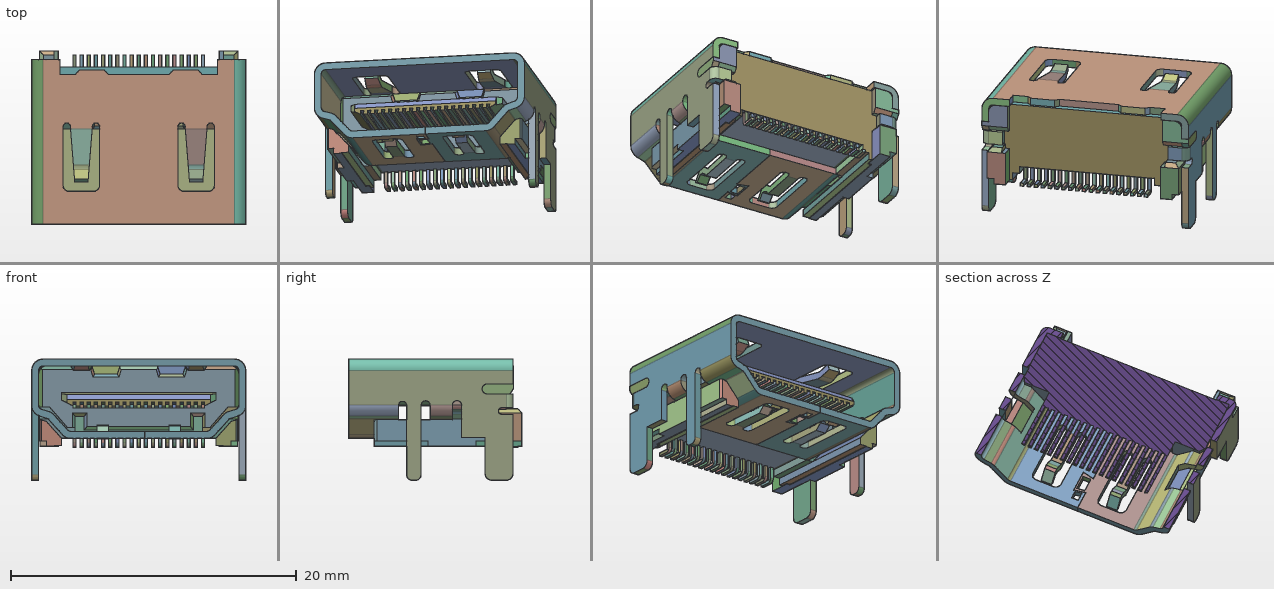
import cadquery as cq

WIDTH = 15.0
SHEET = 0.5
SHELL_TOP = 5.56
SHELL_LENGTH = 11.54
FLOOR_LENGTH = 7.28
BEND_RADIUS = 0.32
KNEE_RADIUS = SHEET + 0.08
WALL_X = WIDTH / 2 - SHEET
CEILING = SHELL_TOP - SHEET
FLAT_HALF = 4.89
STEP_X, STEP_Z = 6.09, 1.82
WALL_FOOT = 2.1
WALL_BREAK = 2.32
LEG_TIP = -2.94
FRONT_LEG_ROUND, REAR_LEG_ROUND = 0.39, 0.5

TOP_SPRING_X = 4.02
TOP_SLOT_FRONT, TOP_SLOT_REAR = 2.32, 6.69
FLOOR_SPRING_X = 2.52
FLOOR_SLOT_FRONT, FLOOR_SLOT_REAR = 0.85, 5.34
TOP_SLOT_HALF, FLOOR_SLOT_HALF = 1.28, 1.08
TOP_ROOT_HALF, FLOOR_SPRING_HALF = 0.76, 0.4
RELIEF_LENGTH = 0.4
SLOT_CORNER = 0.42
NOTCH_HALF, NOTCH_Y = 5.5, 10.52
SEAM_X, SEAM_GAP = 0.42, 0.02
FRONT_LEG = (4.06, 5.08)
FRONT_RELIEF = (3.51, 5.72)
RELIEF_X = 5.55
PLATE_FRONT, PLATE_BOTTOM = 7.92, 0.06
REAR_LEG_FRONT = 9.55
TAB_BOTTOM, TAB_TOP = 2.16, 3.12
WALL_SLOT_END, WALL_SLOT_TOP = 9.36, 3.81
LOWER_SLOT_END, LOWER_SLOT_BOTTOM = 10.52, 1.68
TAB_REACH = 1.5

FACE_Y = 6.69
RIM_DEPTH = 0.4
RECESS_DEPTH = 0.21
KEY_X = 2.3
BLOCK_REAR = SHELL_LENGTH - SHEET
BLOCK_CORNER = 0.51
TONGUE_TIP = 2.07
TONGUE_HALF = 5.4
TONGUE_TOP, TONGUE_TIP_TOP, TONGUE_BOTTOM = 3.21, 3.09, 2.28
TIP_BEVEL = 0.36
TIP_BEVEL_LENGTH = 0.24
FOOT_IN, FOOT_OUT = 5.4, 6.93
FOOT_FRONT = 1.8
FOOT_BOTTOM = -0.55
REBATE_X, REBATE_TOP = 6.46, -0.16
HEEL_REAR, HEEL_TOP = 12.15, 2.08
HEEL_IN, HEEL_OUT = 5.62, 6.96
EAR_REAR = 11.56

PIN_COUNT = 19
PIN_PITCH = 1.5 / 3
PIN_WIDTH = 0.24
PIN_THICK = 0.22
PIN_BOTTOM = -0.63
PIN_REAR = 11.88
CONTACT_FRONT = 6.51
CONTACT_BOTTOM = 2.12


def box(x0, x1, y0, y1, z0, z1):
    return cq.Workplane("XY").box(x1 - x0, y1 - y0, z1 - z0, centered=False).translate((x0, y0, z0))


def mirrored(points):
    """Close a right-hand half outline with its mirror image about the Y-Z plane."""
    return points + [(-x, z) for x, z in reversed(points)]


def front_prism(points, y0, y1):
    """Extrude an X-Z outline from y0 to y1."""
    return cq.Workplane("XZ", origin=(0, y0, 0)).polyline(points).close().extrude(y0 - y1)


def side_prism(points, x0, x1):
    """Extrude a Y-Z outline from x0 to x1."""
    return cq.Workplane("YZ", origin=(x0, 0, 0)).polyline(points).close().extrude(x1 - x0)


def plan_prism(points, z0, z1):
    """Extrude an X-Y outline from z0 to z1."""
    return cq.Workplane("XY", origin=(0, 0, z0)).polyline(points).close().extrude(z1 - z0)


def front_loft(points_a, y_a, points_b, y_b):
    """Straight-sided transition between two X-Z outlines."""
    near = cq.Wire.makePolygon([cq.Vector(x, y_a, z) for x, z in points_a], close=True)
    far = cq.Wire.makePolygon([cq.Vector(x, y_b, z) for x, z in points_b], close=True)
    return cq.Workplane(obj=cq.Solid.makeLoft([near, far], True))


def both_sides(right):
    return right.union(right.mirror("YZ"))


CAVITY = mirrored([(FLAT_HALF, SHEET), (STEP_X, STEP_Z), (WALL_X, WALL_FOOT), (WALL_X, CEILING)])


def cavity_prism(corner, grow, y0, y1):
    """Cavity section with rounded corners and knees, grown outward by `grow`.

    Offsetting in and out rounds the corners, and offsetting out and in rounds the knees.
    """
    section = cq.Workplane("XZ", origin=(0, y0, 0)).polyline(CAVITY).close()
    section = section.offset2D(-corner).offset2D(corner + KNEE_RADIUS).offset2D(grow - KNEE_RADIUS)
    return section.extrude(y0 - y1)



def spring_slot(x, half, root_half, front, rear, z0, z1):
    """Rounded window with a round-ended finger on each side of the spring root."""
    slot = box(x - half, x + half, front, rear, z0, z1).edges("|Z and <Y").fillet(SLOT_CORNER)
    radius = (half - root_half) / 2
    for side in (-1, 1):
        finger_x = x + side * (half - radius)
        end_y = rear + RELIEF_LENGTH - radius
        slot = slot.union(box(finger_x - radius, finger_x + radius, rear - 0.15, end_y, z0, z1))
        slot = slot.union(cq.Workplane("XY", origin=(finger_x, end_y, z0)).circle(radius).extrude(z1 - z0))
    return slot


def top_spring(x):
    """Tapered leaf that dips into the cavity and turns up at its tip."""
    tip_half = 0.46
    bend_y, tip_y, end_y = 4.0, 3.18, 2.98
    dip = 0.33
    root_y = TOP_SLOT_REAR + 0.08
    leaf = side_prism([(root_y, SHELL_TOP), (TOP_SLOT_REAR, SHELL_TOP), (bend_y, SHELL_TOP - dip),
                       (tip_y, SHELL_TOP), (end_y, CEILING + 0.05), (bend_y, CEILING - dip),
                       (TOP_SLOT_REAR, CEILING), (root_y, CEILING)], x - TOP_ROOT_HALF, x + TOP_ROOT_HALF)
    bend_radius = 0.65
    for z, radius in ((SHELL_TOP - dip, bend_radius), (CEILING - dip, bend_radius + SHEET)):
        leaf = leaf.edges(cq.selectors.NearestToPointSelector((x, bend_y, z))).fillet(radius)
    plan = [(x - TOP_ROOT_HALF, root_y), (x - tip_half, end_y), (x + tip_half, end_y),
            (x + TOP_ROOT_HALF, root_y)]
    return leaf.intersect(plan_prism(plan, 0, SHELL_TOP))


def floor_spring(x):
    """Straight leaf with a hump near the tip."""
    half = FLOOR_SPRING_HALF
    root_y = FLOOR_SLOT_REAR + 0.08
    leaf = [(root_y, SHEET), (FLOOR_SLOT_REAR, SHEET), (2.8, 0.44), (2.28, 0.84), (2.0, 0.95), (1.74, 0.87),
            (1.12, 0.15), (1.4, 0.03), (1.82, 0.45), (2.15, 0.39), (2.62, -0.03),
            (FLOOR_SLOT_REAR, 0), (root_y, 0)]
    return side_prism(leaf, x - half, x + half)


def floor_joint():
    """Hairline butt seam with a dovetail lock, and the two windows beside it."""
    neck_front, neck_rear = 1.34, 2.62
    lock_x, lock_front, lock_rear = -0.44, 1.2, 2.8
    seam = [(SEAM_X, 0), (SEAM_X, neck_front), (lock_x, lock_front), (lock_x, lock_rear),
            (SEAM_X, neck_rear), (SEAM_X, FLOOR_LENGTH)]
    offset = [(x + SEAM_GAP, y + SEAM_GAP * slope)
              for (x, y), slope in zip(seam, (0, 1, 1, -1, -1, 0))]
    cut = plan_prism(seam + offset[::-1], 0, SHEET)
    lock_window = [(-0.3, 1.41), (-0.3, 2.49), (0.28, 2.49), (0.28, 1.48)]
    front_window = [(-0.3, 0.57), (-0.3, 1.12), (0.2, 1.2), (0.2, 0.57)]
    return cut.union(plan_prism(lock_window, 0, SHEET)).union(plan_prism(front_window, 0, SHEET))


def rear_notch():
    """Cut-back of the top at the rear, leaving two trapezoidal lips."""
    lip_y = 10.8
    half = [(NOTCH_HALF, SHELL_LENGTH), (NOTCH_HALF, NOTCH_Y), (4.44, NOTCH_Y), (4.15, lip_y),
            (2.42, lip_y), (2.13, NOTCH_Y)]
    return plan_prism(mirrored(half), CEILING, SHELL_TOP)


def right_legs():
    """Front leg and rear plate with its leg, in the plane of the right wall."""
    top = WALL_BREAK + 0.08
    x0, x1 = WALL_X, WIDTH / 2
    front = box(x0, x1, *FRONT_LEG, LEG_TIP, top + RELIEF_LENGTH).edges("|X and <Z").fillet(FRONT_LEG_ROUND)
    rear = box(x0, x1, REAR_LEG_FRONT, SHELL_LENGTH, LEG_TIP, top).edges("|X and <Z").fillet(REAR_LEG_ROUND)
    plate = box(x0, x1, PLATE_FRONT, SHELL_LENGTH, PLATE_BOTTOM, top)
    return front.union(rear).union(plate)


def wall_slot(y_end, z0, z1):
    """Round-ended slot through the right wall, open at the rear edge."""
    radius = (z1 - z0) / 2
    x0, x1 = WALL_X, WIDTH / 2
    end = cq.Workplane("YZ", origin=(x0, y_end + radius, (z0 + z1) / 2)).circle(radius).extrude(SHEET)
    return box(x0, x1, y_end + radius, SHELL_LENGTH, z0, z1).union(end)


def relief_arch(y0, y1):
    """Rounded head of a relief cut in the right wall beside a leg."""
    radius = (y1 - y0) / 2
    return cq.Workplane("YZ", origin=(WALL_X, (y0 + y1) / 2, WALL_BREAK)).circle(radius).extrude(SHEET)


def folded_tab():
    """Right wall tab folded behind the housing block."""
    outside = WIDTH / 2
    tab = box(outside - TAB_REACH, outside, BLOCK_REAR, SHELL_LENGTH, TAB_BOTTOM, TAB_TOP)
    return tab.edges("|Z and >X and >Y").fillet(SHEET - 0.02)


def make_shell():
    shell = cavity_prism(BEND_RADIUS, SHEET, 0, SHELL_LENGTH)
    shell = shell.cut(cavity_prism(BEND_RADIUS, 0, 0, SHELL_LENGTH))
    half = WIDTH / 2
    shell = shell.cut(box(-half, half, FLOOR_LENGTH, SHELL_LENGTH, 0, WALL_BREAK))
    shell = shell.cut(both_sides(box(RELIEF_X, half, *FRONT_RELIEF, 0, WALL_BREAK)))
    arches = relief_arch(FRONT_RELIEF[0], FRONT_LEG[0])
    arches = arches.union(relief_arch(FRONT_LEG[1], FRONT_RELIEF[1]))
    arches = arches.union(relief_arch(FLOOR_LENGTH, PLATE_FRONT))
    shell = shell.cut(both_sides(arches)).union(both_sides(right_legs()))
    shell = shell.cut(both_sides(wall_slot(WALL_SLOT_END, TAB_TOP, WALL_SLOT_TOP)))
    shell = shell.cut(both_sides(wall_slot(LOWER_SLOT_END, LOWER_SLOT_BOTTOM, TAB_BOTTOM)))
    shell = shell.cut(both_sides(box(WALL_X, half, BLOCK_REAR, SHELL_LENGTH, TAB_BOTTOM, TAB_TOP)))
    shell = shell.union(both_sides(folded_tab()))
    shell = shell.cut(rear_notch()).cut(floor_joint())
    for side in (-1, 1):
        x = side * TOP_SPRING_X
        shell = shell.cut(spring_slot(x, TOP_SLOT_HALF, TOP_ROOT_HALF, TOP_SLOT_FRONT, TOP_SLOT_REAR,
                                      CEILING, SHELL_TOP))
        shell = shell.union(top_spring(x))
        x = side * FLOOR_SPRING_X
        shell = shell.cut(spring_slot(x, FLOOR_SLOT_HALF, FLOOR_SPRING_HALF, FLOOR_SLOT_FRONT,
                                      FLOOR_SLOT_REAR, 0, SHEET))
        shell = shell.union(floor_spring(x))
    return shell



def block():
    """Body that fills the rear of the cavity, with a bevelled front rim."""
    rim_y = FACE_Y + RIM_DEPTH
    bevel = 0.25
    ledge_z, shoulder_z = 0.78, 2.19
    lower_edge = [(4.45, SHEET), (4.45, ledge_z), (5.01, ledge_z), (6.24, shoulder_z)]
    near = lower_edge + [(WALL_X - bevel, shoulder_z), (WALL_X - bevel, CEILING - bevel)]
    far = lower_edge + [(WALL_X, shoulder_z), (WALL_X, CEILING)]
    rim = front_loft(mirrored(near), FACE_Y, mirrored(far), rim_y)
    rim = rim.intersect(cavity_prism(BEND_RADIUS, 0, FACE_Y, rim_y))
    body = cavity_prism(BEND_RADIUS, 0, rim_y, BLOCK_REAR).union(rim)
    envelope = box(-WALL_X, WALL_X, FACE_Y, BLOCK_REAR, 0, CEILING)
    return body.intersect(envelope.edges("|Y and >Z").fillet(BLOCK_CORNER))


def key_recess(x):
    """Tapered trapezoidal recess at the top of the front face."""
    near_top, near_low, near_z = 1.14, 0.92, 4.3
    far_top, far_low, far_z = 0.99, 0.8, 4.5
    near = [(x - near_top, CEILING), (x - near_low, near_z), (x + near_low, near_z), (x + near_top, CEILING)]
    far = [(x - far_top, CEILING), (x - far_low, far_z), (x + far_low, far_z), (x + far_top, CEILING)]
    mouth_end = FACE_Y + RECESS_DEPTH
    return front_loft(near, FACE_Y, far, mouth_end).union(front_prism(far, mouth_end, FACE_Y + RIM_DEPTH))


def spring_recess():
    """Tapered recess along the bottom of the front face, taller at both ends."""
    low, high, inner, outer = 0.82, 1.78, 3.63, 4.65
    drop, inset = 0.24, 0.2
    near = [(inner, low), (inner, high), (outer, high), (outer, SHEET)]
    far = [(inner + inset, low - drop), (inner + inset, high - drop),
           (outer - inset, high - drop), (outer - inset, SHEET)]
    return front_loft(mirrored(near), FACE_Y, mirrored(far), FACE_Y + RECESS_DEPTH)


def tongue():
    """Contact tongue with tapered top, slanted lower sides, bevelled tip and a ramp at its root."""
    root = FACE_Y + RIM_DEPTH
    bevel_y = TONGUE_TIP + TIP_BEVEL_LENGTH
    side = [(TONGUE_TIP, TONGUE_BOTTOM), (CONTACT_FRONT, TONGUE_BOTTOM), (FACE_Y, CONTACT_BOTTOM),
            (root, CONTACT_BOTTOM), (root, TONGUE_TOP), (FACE_Y, TONGUE_TOP),
            (bevel_y, TONGUE_TIP_TOP), (TONGUE_TIP, TONGUE_TIP_TOP - TIP_BEVEL)]
    body = side_prism(side, -TONGUE_HALF, TONGUE_HALF)
    edge_z, keel_half = 2.68, 4.62
    section = mirrored([(keel_half, CONTACT_BOTTOM), (keel_half, TONGUE_BOTTOM),
                        (TONGUE_HALF, edge_z), (TONGUE_HALF, TONGUE_TOP)])
    tip_half = TONGUE_HALF - TIP_BEVEL
    plan = mirrored([(tip_half, TONGUE_TIP), (tip_half, bevel_y), (TONGUE_HALF, bevel_y + TIP_BEVEL),
                     (TONGUE_HALF, root)])
    body = body.intersect(front_prism(section, TONGUE_TIP, root))
    return body.intersect(plan_prism(plan, 0, SHELL_TOP))


def contact_groove(x):
    """Groove under the tongue that ends at the contact."""
    tip_roof, end_roof = 2.54, 2.37
    profile = [(TONGUE_TIP, CONTACT_BOTTOM), (TONGUE_TIP, tip_roof), (CONTACT_FRONT, end_roof),
               (CONTACT_FRONT, CONTACT_BOTTOM)]
    return side_prism(profile, x - PIN_WIDTH / 2, x + PIN_WIDTH / 2)


def contact(x):
    """Exposed contact at the tongue root and its solder tail at the rear."""
    x0, x1 = x - PIN_WIDTH / 2, x + PIN_WIDTH / 2
    root = box(x0, x1, CONTACT_FRONT, FACE_Y + RIM_DEPTH, CONTACT_BOTTOM, TONGUE_BOTTOM + 0.15)
    stem_rear = BLOCK_REAR - 0.06
    bend = 0.3
    stem_front = stem_rear - PIN_THICK
    tail = side_prism([(stem_front, SHEET + 0.15), (stem_rear, SHEET + 0.15),
                       (stem_rear, PIN_BOTTOM + PIN_THICK), (PIN_REAR, PIN_BOTTOM + PIN_THICK),
                       (PIN_REAR, PIN_BOTTOM), (stem_front, PIN_BOTTOM)], x0, x1)
    return root.union(tail.edges("|X and <Y and <Z").fillet(bend))


def right_foot():
    """Side foot below the shell step, with two rebates along its outer lower edge and a rear heel."""
    rear_start = FLOOR_LENGTH
    fill_top = 1.35
    corner_along_y, corner_along_x = 0.2, 0.1
    ledge_x, ledge_rise = 5.9, 0.05
    sole = [(FOOT_IN, FOOT_BOTTOM + ledge_rise), (ledge_x, FOOT_BOTTOM + ledge_rise),
            (ledge_x, FOOT_BOTTOM), (FOOT_OUT, FOOT_BOTTOM)]
    front = front_prism(sole + [(FOOT_OUT, 1.32), (6.48, 1.2), (FOOT_IN, 0)], FOOT_FRONT, rear_start)
    front = front.edges("|Z and >X and <Y").chamfer(corner_along_y, corner_along_x)
    rear = front_prism(sole + [(FOOT_OUT, fill_top), (FLAT_HALF, fill_top), (FLAT_HALF, 0), (FOOT_IN, 0)],
                       rear_start, BLOCK_REAR)
    foot = front.union(rear).union(right_heel())
    for y0, y1 in ((FOOT_FRONT, 5.58), (8.94, HEEL_REAR)):
        foot = foot.cut(box(REBATE_X, WALL_X, y0, y1, FOOT_BOTTOM, REBATE_TOP))
    return foot


def right_heel():
    """Block behind the rear leg, bevelled on top and stepped on its inner side."""
    start = 10.5
    bevel = 0.3
    heel = box(HEEL_IN + bevel, HEEL_OUT, start, HEEL_REAR, FOOT_BOTTOM, HEEL_TOP)
    heel = heel.edges("(>Z and >Y) or (>Z and >X)").chamfer(bevel)
    return heel.union(box(HEEL_IN, HEEL_IN + bevel, start, HEEL_REAR, FOOT_BOTTOM, HEEL_TOP - bevel))


def right_ear():
    """Upper rear extension under the shell top, with a rib that fills the upper wall slot."""
    start = BLOCK_REAR - 0.15
    bevel_y, bevel_z = EAR_REAR - 0.24, 3.5
    clearance = 0.03
    profile = [(start, TAB_TOP + clearance), (bevel_y, TAB_TOP + clearance), (EAR_REAR, bevel_z),
               (EAR_REAR, CEILING), (start, CEILING)]
    ear = side_prism(profile, HEEL_IN, WALL_X).edges("|Y and >X and >Z").fillet(BLOCK_CORNER)
    rib = wall_slot(WALL_SLOT_END, TAB_TOP, WALL_SLOT_TOP)
    rib_end = [(BLOCK_REAR, TAB_TOP), (bevel_y, TAB_TOP), (EAR_REAR, bevel_z),
               (EAR_REAR, WALL_SLOT_TOP), (BLOCK_REAR, WALL_SLOT_TOP)]
    rib = rib.intersect(box(WALL_X, WIDTH / 2, 0, BLOCK_REAR, 0, SHELL_TOP))
    return ear.union(rib).union(side_prism(rib_end, WALL_X, WIDTH / 2))


def make_housing():
    housing = block().cut(spring_recess())
    for side in (-1, 1):
        housing = housing.cut(key_recess(side * KEY_X))
    blade = tongue()
    places = [(i - (PIN_COUNT - 1) / 2) * PIN_PITCH for i in range(PIN_COUNT)]
    for x in places:
        blade = blade.cut(contact_groove(x)).union(contact(x))
    return housing.union(both_sides(right_foot())).union(both_sides(right_ear())).union(blade)


shell = make_shell()
housing = make_housing()
result = cq.Compound.makeCompound([shell.val(), housing.val()])